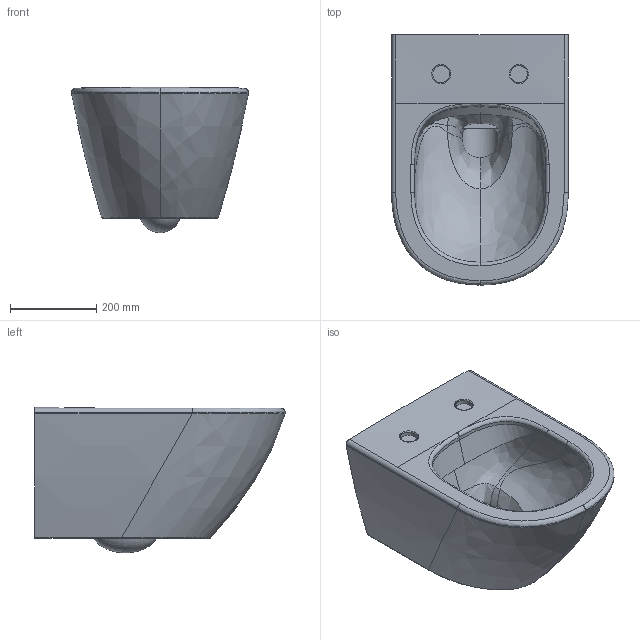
import cadquery as cq
import math


width = 410.04
length = 580.0
lip_height = 13.0
lip_fillet = 10.0
base_depth = 302.0
base_fillet = 3.0
base_half_width = 134.5
base_length = 407.0
side_start_slope = 0.18
front_start_slope = 0.29
rim_straight_end = 365.0
base_straight_end = 200.0
rim_fullness = 0.624
ellipse_fullness = 4 / 3 * (math.sqrt(2) - 1)
body_steps = 4

total_height = 337.84
deck_length = 158.5
deck_rise = 2.4
deck_thickness = 8.0
deck_half_width = width / 2 - lip_fillet

hole_diameter = 39.8
hole_rim_fillet = 2.2
hole_depth = 10.0
hole_spacing = 180.0
hole_from_wall = 91.0

opening_half_width = 152.0
opening_front = 527.0
opening_back = 166.0
opening_fillet = 8.0
opening_lip_depth = 16.0
opening_front_side = 365.0
opening_rear_side = 300.0
opening_fullness = 0.63
opening_rear_fullness = 0.74

rear_wall_back = 190.0
rear_wall_depth = 96.0

ceiling_front = 276.0
ceiling_back = 120.0
ceiling_back_depth = 118.0

sump_bottom = 290.0
trough_radius = 43.0
trough_top = 245.0
trough_back = 216.0

bowl_rear_fullness = 0.8
bowl_head = dict(
    half_width=157.0, front=533.0, front_side=365.0, rear_side=260.0, back=125.0,
    depth=opening_lip_depth, front_fullness=opening_fullness,
)
bowl_flank = dict(
    half_width=150.0, front=499.0, front_side=315.0, rear_side=240.0, back=140.0, depth=77.0,
)
bowl_shoulder = dict(
    half_width=126.0, front=441.0, front_side=225.0, rear_side=210.0, back=158.0, depth=135.0,
)
sump_mouth = dict(
    half_width=75.0, front=357.0, front_side=225.0, rear_side=210.0, back=170.0, depth=165.0,
)
sump_throat = dict(
    half_width=54.0, front=323.0, front_side=235.0, rear_side=215.0, back=185.0, depth=198.0,
)
sump_neck = dict(
    half_width=trough_radius, front=301.0, front_side=240.0, rear_side=230.0, back=205.0, depth=trough_top,
)
sump_floor = dict(
    half_width=38.0, front=284.0, front_side=245.0, rear_side=235.0, back=214.0, depth=sump_bottom,
)

bulge_radius = 48.0
bulge_half_length = 76.0
bulge_from_wall = 209.5

selection_margin = 1.0


def half_round(sketch, half_width, side_end, tip, fullness):
    """Add a rounded end from the current side, over (0, tip), to the other side.

    The signs of half_width and tip give the starting side and the direction;
    fullness is the handle length of the curves relative to their reach.
    """
    side_handle = side_end + (tip - side_end) * fullness
    tip_handle = half_width * fullness
    start = [(half_width, side_handle), (tip_handle, tip), (0, tip)]
    finish = [(-tip_handle, tip), (-half_width, side_handle), (-half_width, side_end)]
    return sketch.bezier(start, includeCurrent=True).bezier(finish, includeCurrent=True)


def body_outline(half_width, side_end, front, depth, fullness):
    """Wire with a flat end on the wall, straight sides and a rounded front."""
    sketch = (
        cq.Workplane("XY", origin=(0, 0, -depth))
        .moveTo(half_width, 0)
        .lineTo(half_width, -side_end)
    )
    sketch = half_round(sketch, half_width, -side_end, -front, fullness)
    return sketch.lineTo(-half_width, 0).close().val()


def bowl_outline(half_width, front, front_side, rear_side, back, depth,
                 front_fullness=ellipse_fullness, rear_fullness=bowl_rear_fullness):
    """Wire with rounded front and rear ends, its sides straight from front_side to rear_side."""
    sketch = (
        cq.Workplane("XY", origin=(0, 0, -depth))
        .moveTo(half_width, -rear_side)
        .lineTo(half_width, -front_side)
    )
    sketch = half_round(sketch, half_width, -front_side, -front, front_fullness)
    sketch = sketch.lineTo(-half_width, -rear_side)
    return half_round(sketch, -half_width, -rear_side, -back, rear_fullness).close().val()


def opening_outline(back, depth):
    """Bowl opening, whose whole rear end moves forward with its back."""
    shift = back - opening_back
    return bowl_outline(
        opening_half_width, opening_front, opening_front_side, opening_rear_side + shift,
        back, depth, opening_fullness, opening_rear_fullness,
    )


def loft(wires, ruled=False):
    """Solid through the wires, smooth unless ruled."""
    return cq.Workplane(cq.Solid.makeLoft(wires, ruled))


def bowed_inset(total, start_slope, drop, full_drop):
    """Inset that starts at start_slope and steepens to reach total at full_drop."""
    bow = (total - start_slope * full_drop) / full_drop**2
    return start_slope * drop + bow * drop**2


def make_body():
    """Outer shell from the lip down to the base, tapering at the sides and front."""
    full_drop = base_depth - lip_height
    sections = []
    for step in range(body_steps + 1):
        drop = full_drop * step / body_steps
        side_inset = bowed_inset(width / 2 - base_half_width, side_start_slope, drop, full_drop)
        front_inset = bowed_inset(length - base_length, front_start_slope, drop, full_drop)
        share = step / body_steps
        sections.append(body_outline(
            width / 2 - side_inset,
            rim_straight_end + (base_straight_end - rim_straight_end) * share,
            length - front_inset,
            lip_height + drop,
            rim_fullness + (ellipse_fullness - rim_fullness) * share,
        ))
    return loft(sections).edges("<Z").edges("not >Y").fillet(base_fillet)


def make_lip():
    """Upright band around the rim with a rounded upper edge."""
    outline = body_outline(width / 2, rim_straight_end, length, lip_height, rim_fullness)
    band = cq.Workplane(outline).toPending().extrude(lip_height)
    return band.edges(">Z").edges("not >Y").fillet(lip_fillet)


def make_deck():
    """Deck that rises toward the wall, arched at the wall and straight at its front."""
    def section(y, rise):
        start = (
            cq.Workplane("XZ", origin=(0, y, 0))
            .moveTo(-deck_half_width, -deck_thickness)
            .lineTo(-deck_half_width, 0)
        )
        if rise:
            top = start.threePointArc((0, rise), (deck_half_width, 0))
        else:
            top = start.lineTo(deck_half_width, 0)
        return top.lineTo(deck_half_width, -deck_thickness).close().val()

    return loft([section(0, deck_rise), section(-deck_length, 0)], True)


def make_bulge():
    """Ellipsoid, long along Y, whose lowest point sets the overall height."""
    center_z = deck_rise - total_height + bulge_radius
    return (
        cq.Workplane("XY", origin=(0, -bulge_from_wall, center_z))
        .moveTo(0, -bulge_half_length)
        .ellipseArc(bulge_radius, bulge_half_length, -90, 90, startAtCurrent=True)
        .close()
        .revolve(360, (0, 0, 0), (0, 1, 0))
    )


def make_bowl():
    """Funnel below the lip, kept inside the leaning rear wall or under the sloping ceiling."""
    funnel = loft([
        bowl_outline(**level) for level in (bowl_head, bowl_flank, bowl_shoulder, sump_mouth)
    ])
    rear_wall = loft([
        opening_outline(opening_back, opening_lip_depth),
        opening_outline(rear_wall_back, rear_wall_depth),
    ])
    under_ceiling = (
        cq.Workplane("YZ", origin=(-width / 2, 0, 0))
        .moveTo(-ceiling_front, -opening_lip_depth)
        .lineTo(-length, -opening_lip_depth)
        .lineTo(-length, -base_depth)
        .lineTo(-ceiling_back, -base_depth)
        .lineTo(-ceiling_back, -ceiling_back_depth)
        .close()
        .extrude(width)
    )
    return funnel.intersect(rear_wall.union(under_ceiling))


def make_sump():
    """Well that narrows downward and ends in a trough with a flat rear."""
    well = loft([
        bowl_outline(**level) for level in (sump_mouth, sump_throat, sump_neck, sump_floor)
    ])
    trough_center = trough_radius - sump_bottom
    trough = (
        cq.Workplane("XZ", origin=(0, -trough_back, 0))
        .moveTo(trough_radius, trough_center)
        .threePointArc((0, -sump_bottom), (-trough_radius, trough_center))
        .lineTo(-trough_radius, -trough_top)
        .lineTo(trough_radius, -trough_top)
        .close()
        .extrude(length)
    )
    upper_well = cq.Workplane("XY", origin=(0, 0, -trough_top)).rect(width, 2 * length).extrude(trough_top)
    return well.intersect(trough.union(upper_well))


def top_edges(x, y, half_x, half_y):
    """Selector for edges near the rim plane that lie wholly within a box around (x, y)."""
    return cq.selectors.BoxSelector(
        (x - half_x, y - half_y, -deck_rise),
        (x + half_x, y + half_y, deck_rise),
        boundingbox=True,
    )


def cut_opening(body):
    """Cut the bowl opening and round its upper edge."""
    opening = cq.Workplane(opening_outline(opening_back, opening_lip_depth)).toPending()
    body = body.cut(opening.extrude(opening_lip_depth))
    middle_y = -(opening_front + opening_back) / 2
    half_length = (opening_front - opening_back) / 2
    rim = top_edges(
        0, middle_y, opening_half_width + selection_margin, half_length + selection_margin
    )
    return body.edges(rim).fillet(opening_fillet)


def cut_fixing_hole(body, x):
    """Cut a blind hole into the deck and round its mouth."""
    hole = (
        cq.Workplane("XY", origin=(x, -hole_from_wall, -hole_depth))
        .circle(hole_diameter / 2)
        .extrude(hole_depth + deck_rise)
    )
    half_box = hole_diameter / 2 + selection_margin
    mouth = top_edges(x, -hole_from_wall, half_box, half_box)
    return body.cut(hole).edges(mouth).fillet(hole_rim_fillet)


result = make_body().union(make_lip()).union(make_bulge())
result = cut_opening(result)
result = result.union(make_deck())
result = result.cut(make_bowl()).cut(make_sump())
for side in (-1, 1):
    result = cut_fixing_hole(result, side * hole_spacing / 2)